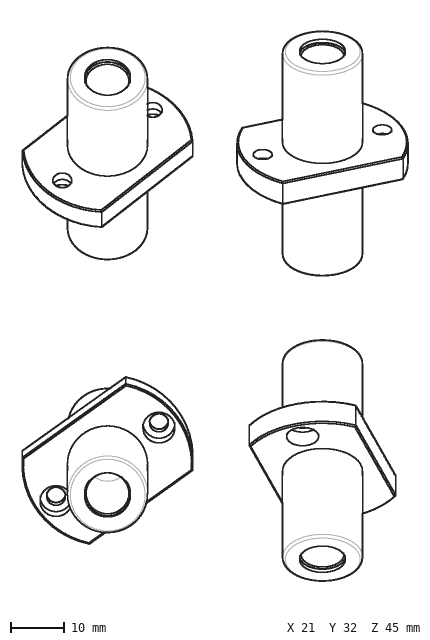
import cadquery as cq

length = 45.0
sleeve_diameter = 15.0
sleeve_edge_radius = 0.5
bore_diameter = 8.0
mouth_diameter = 8.6
mouth_depth = 0.7
groove_diameter = 9.2
groove_width = 0.3

flange_diameter = 32.0
flange_width = 21.0
flange_thickness = 5.0
flange_edge_chamfer = 0.25

hole_diameter = 3.5
hole_spacing = 24.0
counterbore_diameter = 6.0
counterbore_depth = 3.1


def make_sleeve():
    sleeve = cq.Workplane("XY").circle(sleeve_diameter / 2).extrude(length / 2, both=True)
    return sleeve.faces("<Z or >Z").edges().fillet(sleeve_edge_radius)


def make_flange():
    disc = cq.Workplane("XY").circle(flange_diameter / 2).extrude(flange_thickness / 2, both=True)
    flats = cq.Workplane("XY").box(flange_width, flange_diameter, flange_thickness)
    return disc.intersect(flats).faces("<Z or >Z").edges().chamfer(flange_edge_chamfer)


def cut_mounting_holes(body):
    positions = [(0, -hole_spacing / 2), (0, hole_spacing / 2)]
    holes = (
        cq.Workplane("XY")
        .pushPoints(positions)
        .circle(hole_diameter / 2)
        .extrude(flange_thickness, both=True)
    )
    counterbores = (
        cq.Workplane("XY", origin=(0, 0, -flange_thickness / 2))
        .pushPoints(positions)
        .circle(counterbore_diameter / 2)
        .extrude(counterbore_depth)
    )
    return body.cut(holes).cut(counterbores)


def cut_end_recess(body, end):
    """Cut the mouth and the groove behind its lip; end is 1 for the top, -1 for the bottom."""
    face = cq.Workplane("XY", origin=(0, 0, end * length / 2))
    mouth = face.circle(mouth_diameter / 2).extrude(-end * mouth_depth)
    lip = face.workplane(offset=-end * mouth_depth)
    groove = lip.circle(groove_diameter / 2).extrude(-end * groove_width)
    return body.cut(mouth).cut(groove)


def cut_bore(body):
    """Cut the through bore and the recess at each end."""
    body = body.cut(cq.Workplane("XY").circle(bore_diameter / 2).extrude(length, both=True))
    for end in (1, -1):
        body = cut_end_recess(body, end)
    return body


result = cut_bore(make_sleeve().union(cut_mounting_holes(make_flange())))